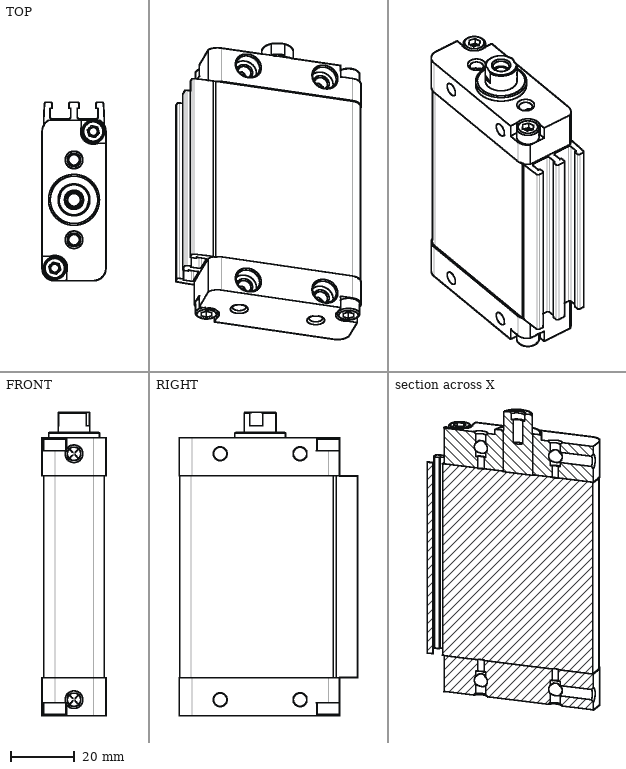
import cadquery as cq
import math


total_height = 95.0
cap_height = 12.0
body_height = 87.0
barrel_height = body_height - 2 * cap_height

drill_tip_ratio = 0.25

cap_width = 20.0
cap_front_y = -25.4
cap_rear_y = 24.9
cap_corner_radius = 4.0
collar_diameter = 16.0
collar_height = 1.7
collar_chamfer_height = 0.3
collar_chamfer_width = 0.6

screw_x = cap_width / 2 - cap_corner_radius
screw_y = -cap_front_y - cap_corner_radius
screw_head_diameter = 7.0
screw_head_chamfer = 0.5
socket_across_flats = 3.3
socket_angle = -15.0
socket_depth = 1.9
socket_tip_diameter = 2.6
screw_pocket_radius = 4.0
screw_pocket_side = 3.7
screw_pocket_depth = 4.1
screw_pocket_overrun = 0.95

hole_spacing = 25.0
hole_inset = 5.0
core_diameter = 4.2
thread_mouth_diameter = 5.5
end_hole_depth = 8.1
end_pilot_diameter = 3.3
mount_bore_diameter = 7.6
mount_bore_mouth = 8.5
mount_bore_depth = 3.8
mount_thread_mouth = 5.0

barrel_half_width = 9.5
barrel_corner_radius = 3.5
barrel_front_y = -25.2
total_length = 56.0
rail_tip_y = cap_front_y + total_length
rail_tip_half_width = 9.2
side_groove_start_y = 22.9
side_groove_width = 0.9
side_groove_depth = 0.2
slot_depth = 5.2
lip_height = 2.0
lip_inner_x = 6.8
slot_outer_x = 7.5
center_lip_half_width = 1.6
center_web_half_width = 1.0
rail_tip_rounding = 0.6
slot_floor_rounding = 0.6

rod_diameter = 10.0
rod_tip_chamfer = 0.3
flat_spacing = 9.0
flat_height = 4.2
flat_angle = -15.0
rod_mouth_diameter = 6.0
rod_bore_diameter = 5.0
rod_bore_depth = 2.5
rod_core_diameter = 4.0
rod_core_depth = 10.0


def cylinder(diameter, height, base_z=0.0):
    return cq.Workplane("XY").workplane(offset=base_z).circle(diameter / 2).extrude(height)


def cone(base_diameter, tip_diameter, height):
    """Cone on Z = 0 that narrows upwards; a zero tip diameter gives a point."""
    return cq.Workplane(cq.Solid.makeCone(base_diameter / 2, tip_diameter / 2, height))


def turn_z(shape, angle):
    return shape.rotate((0, 0, 0), (0, 0, 1), angle)


def mouth_chamfer(mouth_diameter, hole_diameter):
    """45-degree entry cone of a hole that runs up from Z = 0."""
    return cone(mouth_diameter, hole_diameter, (mouth_diameter - hole_diameter) / 2)


def chamfered_hole(mouth_diameter, hole_diameter, depth):
    """Hole that runs up from Z = 0 and has a chamfered mouth."""
    return cylinder(hole_diameter, depth).union(mouth_chamfer(mouth_diameter, hole_diameter))


def mount_hole():
    """Counterbored through hole that runs up from Z = 0."""
    counterbore = chamfered_hole(mount_bore_mouth, mount_bore_diameter, mount_bore_depth)
    thread = chamfered_hole(mount_thread_mouth, core_diameter, cap_width - mount_bore_depth)
    return counterbore.union(thread.translate((0, 0, mount_bore_depth)))


def screw_pocket():
    """Round-backed corner pocket, open towards -X and -Y, cut up from Z = 0."""
    reach = cap_corner_radius + screw_pocket_overrun
    pocket = cylinder(2 * screw_pocket_radius, screw_pocket_depth)
    for direction in (-90, 180):
        arm = cq.Workplane("XY").rect(reach, 2 * screw_pocket_side).extrude(screw_pocket_depth)
        pocket = pocket.union(turn_z(arm.translate((reach / 2, 0, 0)), direction))
    corner = cq.Workplane("XY").rect(reach, reach).extrude(screw_pocket_depth)
    return pocket.union(corner.translate((-reach / 2, -reach / 2, 0)))


def screw_head():
    """Socket screw head whose outer face lies at Z = 0."""
    head = cylinder(screw_head_diameter, screw_pocket_depth).faces("<Z").chamfer(screw_head_chamfer)
    across_corners = socket_across_flats / math.cos(math.radians(30))
    socket = cq.Workplane("XY").polygon(6, across_corners).extrude(socket_depth)
    socket = turn_z(socket, socket_angle)
    tip = cone(socket_tip_diameter, 0, socket_tip_diameter * drill_tip_ratio)
    return head.cut(socket).cut(tip.translate((0, 0, socket_depth)))


def make_bottom_cap():
    """End cap with its two screw heads, tapped end holes, mounting holes and air port."""
    cap = cq.Workplane("XY").rect(cap_width, -2 * cap_front_y).extrude(cap_height)
    cap = cap.edges("|Z").fillet(cap_corner_radius)
    trim = cq.Workplane("XY").rect(cap_width, 2 * (-cap_front_y - cap_rear_y)).extrude(cap_height)
    cap = cap.cut(trim.translate((0, -cap_front_y, 0)))

    for side, turn in ((-1, 0), (1, 180)):
        place = (side * screw_x, side * screw_y, 0)
        cap = cap.cut(turn_z(screw_pocket(), turn).translate(place))
        cap = cap.union(screw_head().translate(place))

    end_hole = chamfered_hole(thread_mouth_diameter, core_diameter, end_hole_depth)
    end_hole = end_hole.union(cylinder(end_pilot_diameter, cap_height))
    cross_hole = mount_hole().rotate((0, 0, 0), (0, 1, 0), 90)
    for y in (-hole_spacing / 2, hole_spacing / 2):
        cap = cap.cut(end_hole.translate((0, y, 0)))
        cap = cap.cut(cross_hole.translate((-cap_width / 2, y, hole_inset)))

    port_depth = -cap_front_y - hole_spacing / 2
    port = chamfered_hole(thread_mouth_diameter, core_diameter, port_depth)
    port = port.rotate((0, 0, 0), (1, 0, 0), -90)
    return cap.cut(port.translate((0, cap_front_y, hole_inset)))


def make_top_cap():
    """Mirror image of the bottom cap, with a collar and a bore for the rod."""
    cap = make_bottom_cap().mirror("XY").translate((0, 0, body_height))
    collar = cylinder(collar_diameter, collar_height, body_height)
    collar = collar.faces(">Z").chamfer(collar_chamfer_height, collar_chamfer_width)
    bore = cylinder(rod_diameter, cap_height + collar_height, body_height - cap_height)
    return cap.union(collar).cut(bore)


def slot():
    """Undercut slot between the +X rail and the middle rail: a chamber below a narrower opening."""
    slot_floor_y = rail_tip_y - slot_depth
    chamber_width = slot_outer_x - center_web_half_width
    chamber_length = slot_depth - lip_height
    opening_width = lip_inner_x - center_lip_half_width
    chamber = cq.Workplane("XY").box(chamber_width, chamber_length, barrel_height, centered=False)
    chamber = chamber.edges("|Z and <Y").fillet(slot_floor_rounding)
    chamber = chamber.translate((center_web_half_width, slot_floor_y, cap_height))
    opening = cq.Workplane("XY").box(opening_width, slot_depth, barrel_height, centered=False)
    return chamber.union(opening.translate((center_lip_half_width, slot_floor_y, cap_height)))


def make_barrel():
    """Extruded body with three rails along its +Y side."""
    corner_y = barrel_front_y + barrel_corner_radius
    corner_x = barrel_half_width - barrel_corner_radius
    corner_mid = barrel_corner_radius * math.sin(math.radians(45))
    groove_end_y = side_groove_start_y + side_groove_width
    groove_mid = (barrel_half_width - side_groove_depth, side_groove_start_y + side_groove_width / 2)

    flank_length = rail_tip_y - groove_end_y
    flank_lean = barrel_half_width - rail_tip_half_width
    flank_mid = (barrel_half_width - flank_lean / 4, groove_end_y + flank_length / 2)
    barrel = (
        cq.Workplane("XY")
        .workplane(offset=cap_height)
        .moveTo(0, barrel_front_y)
        .lineTo(corner_x, barrel_front_y)
        .threePointArc((corner_x + corner_mid, corner_y - corner_mid), (barrel_half_width, corner_y))
        .lineTo(barrel_half_width, side_groove_start_y)
        .threePointArc(groove_mid, (barrel_half_width, groove_end_y))
        .threePointArc(flank_mid, (rail_tip_half_width, rail_tip_y))
        .lineTo(0, rail_tip_y)
        .mirrorY()
        .extrude(barrel_height)
    )
    barrel = barrel.cut(slot()).cut(slot().mirror("YZ"))
    return barrel.faces(">Y").edges("|Z").fillet(rail_tip_rounding)


def make_rod():
    """Piston rod with two wrench flats and a tapped end."""
    rod_base_z = body_height - cap_height
    rod = cylinder(rod_diameter, total_height - rod_base_z, rod_base_z).faces(">Z").chamfer(rod_tip_chamfer)

    flats = cq.Workplane("XY").workplane(offset=total_height - flat_height)
    flats = flats.rect(2 * rod_diameter, 2 * rod_diameter).rect(flat_spacing, 2 * rod_diameter)
    rod = rod.cut(turn_z(flats.extrude(flat_height), flat_angle))

    core_tip = cone(rod_core_diameter, 0, rod_core_diameter * drill_tip_ratio).translate((0, 0, rod_core_depth))
    hole = chamfered_hole(rod_mouth_diameter, rod_bore_diameter, rod_bore_depth)
    hole = hole.union(cylinder(rod_core_diameter, rod_core_depth)).union(core_tip)
    return rod.cut(hole.mirror("XY").translate((0, 0, total_height)))


bottom_cap = make_bottom_cap()
top_cap = make_top_cap()
barrel = make_barrel()
rod = make_rod()

result = cq.Compound.makeCompound([bottom_cap.val(), top_cap.val(), barrel.val(), rod.val()])